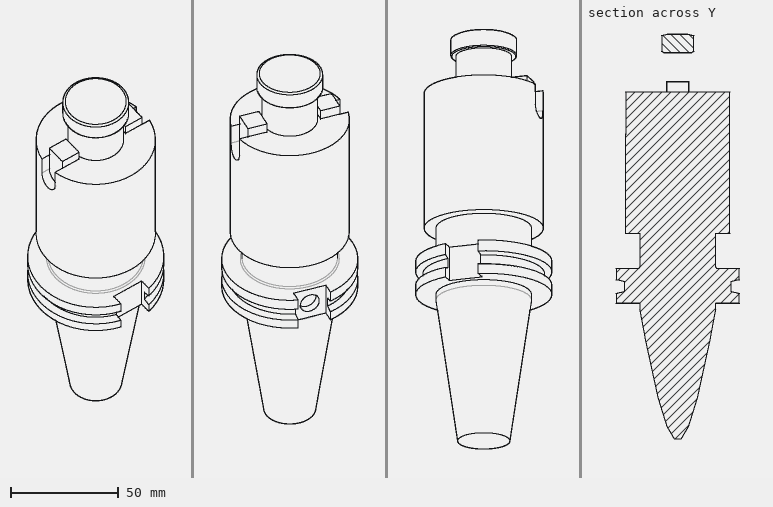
import cadquery as cq

total_height = 196.7
taper_top_z = 68.8
flange_bottom_z = 71.6
flange_top_z = 88.0
barrel_bottom_z = 104.0
barrel_top_z = 170.0
pilot_top_z = 188.0

gauge_radius = 22.2
taper_ratio = 7 / 24
taper_tip_radius = gauge_radius - taper_top_z * taper_ratio / 2
flange_radius = 31.7
barrel_radius = 27.7
pilot_radius = 13.0
collar_fillet_radius = 0.8

groove_root_radius = 28.3
groove_mouth_width = 6.3
groove_root_width = 4.5
groove_z = 79.5

flange_mid_z = (flange_bottom_z + flange_top_z) / 2

drive_slot_width = 16.1
drive_slot_floor_x = 25.0
floor_hole_radius = 4.7
floor_hole_depth = 4.0

key_width = 10.2
key_top_z = 174.7
keyway_bottom_z = 155.0
key_inner_y = 13.4
key_outer_y = 23.0

screw_radius = 15.3
screw_chamfer_width = 1.2
screw_chamfer_height = 0.5
screw_bottom_chamfer = 0.5


def make_holder_blank():
    """Taper, flange, collar, barrel and pilot turned as one piece."""
    half_mouth = groove_mouth_width / 2
    half_root = groove_root_width / 2
    return (
        cq.Workplane("XZ")
        .lineTo(taper_tip_radius, 0)
        .lineTo(gauge_radius, taper_top_z)
        .lineTo(gauge_radius, flange_bottom_z)
        .lineTo(flange_radius, flange_bottom_z)
        .lineTo(flange_radius, groove_z - half_mouth)
        .lineTo(groove_root_radius, groove_z - half_root)
        .lineTo(groove_root_radius, groove_z + half_root)
        .lineTo(flange_radius, groove_z + half_mouth)
        .lineTo(flange_radius, flange_top_z)
        .lineTo(gauge_radius + collar_fillet_radius, flange_top_z)
        .radiusArc((gauge_radius, flange_top_z + collar_fillet_radius), collar_fillet_radius)
        .lineTo(gauge_radius, barrel_bottom_z)
        .lineTo(barrel_radius, barrel_bottom_z)
        .lineTo(barrel_radius, barrel_top_z)
        .lineTo(pilot_radius, barrel_top_z)
        .lineTo(pilot_radius, pilot_top_z)
        .lineTo(0, pilot_top_z)
        .close()
        .revolve(360, (0, 0, 0), (0, 1, 0))
    )


def make_drive_slot(side):
    """Cutter for the drive slot on the +X (side = 1) or -X (side = -1) side."""
    slot_depth = flange_radius - drive_slot_floor_x
    slot_height = flange_top_z - flange_bottom_z
    slot_center = (side * (drive_slot_floor_x + slot_depth / 2), 0, flange_mid_z)
    return cq.Workplane("XY").box(slot_depth, drive_slot_width, slot_height).translate(slot_center)


def make_floor_hole():
    """Cutter for the blind hole in the floor of the -X drive slot."""
    return (
        cq.Workplane("YZ", origin=(-drive_slot_floor_x, 0, flange_mid_z))
        .circle(floor_hole_radius)
        .extrude(floor_hole_depth)
    )


def make_keyway_prism(outer_y, side):
    """Round-bottomed prism from key_inner_y out to outer_y on the +Y or -Y side."""
    half_width = key_width / 2
    arc_center_z = keyway_bottom_z + half_width
    return (
        cq.Workplane("XZ", origin=(0, side * key_inner_y, 0))
        .moveTo(-half_width, key_top_z)
        .lineTo(-half_width, arc_center_z)
        .threePointArc((0, keyway_bottom_z), (half_width, arc_center_z))
        .lineTo(half_width, key_top_z)
        .close()
        .extrude(-side * (outer_y - key_inner_y))
    )


def make_holder():
    holder = make_holder_blank()
    for side in (-1, 1):
        holder = holder.cut(make_drive_slot(side))
        holder = holder.cut(make_keyway_prism(barrel_radius, side))
    return holder.cut(make_floor_hole())


def make_key(side):
    return make_keyway_prism(key_outer_y, side)


def make_lock_screw():
    """Chamfered screw head seated on the end of the pilot."""
    return (
        cq.Workplane("XZ")
        .moveTo(0, pilot_top_z)
        .lineTo(screw_radius - screw_bottom_chamfer, pilot_top_z)
        .lineTo(screw_radius, pilot_top_z + screw_bottom_chamfer)
        .lineTo(screw_radius, total_height - screw_chamfer_height)
        .lineTo(screw_radius - screw_chamfer_width, total_height)
        .lineTo(0, total_height)
        .close()
        .revolve(360, (0, 0, 0), (0, 1, 0))
    )


holder = make_holder()
keys = [make_key(side) for side in (-1, 1)]
lock_screw = make_lock_screw()

result = cq.Compound.makeCompound([holder.val(), *[key.val() for key in keys], lock_screw.val()])